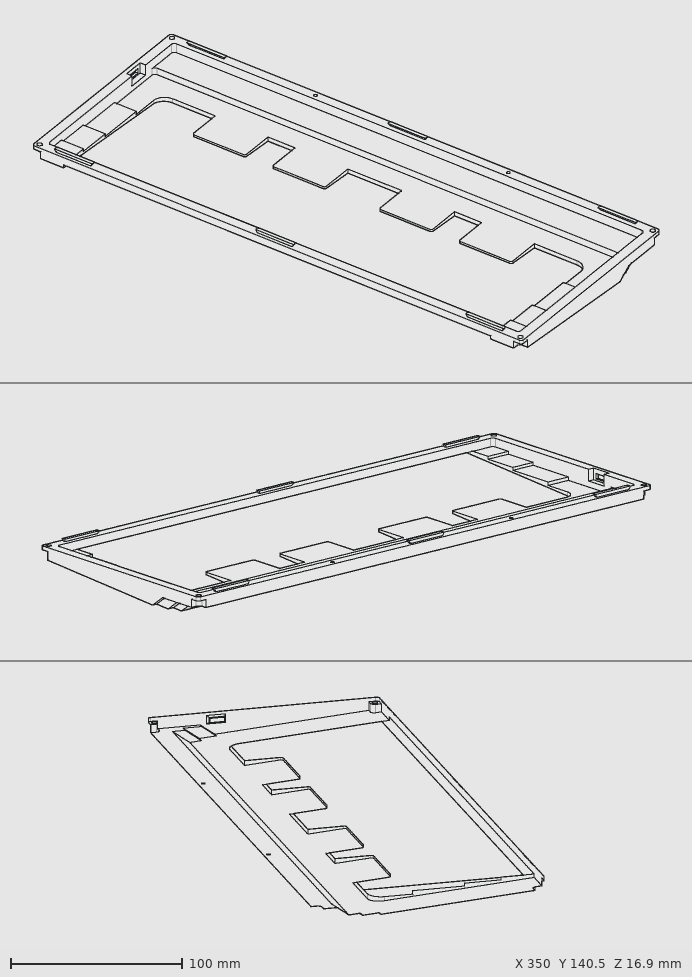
import cadquery as cq


LENGTH = 350.0
WIDTH = 140.5
RIM_WIDTH = 6.5
FRAME_DEPTH = 7.5
OUTER_CORNER_RADIUS = 1.8
INNER_CORNER_RADIUS = 2.0
BACK = WIDTH / 2
FRONT = -WIDTH / 2
INNER_LENGTH = LENGTH - 2 * RIM_WIDTH
INNER_BACK = BACK - RIM_WIDTH
INNER_FRONT = FRONT + RIM_WIDTH

WEDGE_DEPTH = 15.0
WEDGE_TOP_DEPTH = FRAME_DEPTH / 2
WEDGE_START = BACK - 13.0
WEDGE_LOW_POINT = BACK - 23.5
WEDGE_LAYERS = [(0.0, 19.0), (3.0, 7.7), (7.5, 0.0)]

SHELF_DEPTH = 6.3
FRONT_FLOOR_DEPTH = 5.2
SHELF_EDGE = BACK - 26.2
MAIN_FLOOR_DEPTH = 11.0
MAIN_FLOOR_END = BACK - 66.5
SIDE_STEPS = [(BACK - 98.0, 8.8), (BACK - 120.0, 7.0)]

OPENING_LENGTH = 305.2
OPENING_BACK = BACK - 41.3
OPENING_CORNER_RADIUS = 8.0
TAB_LENGTH = 37.8
TAB_REACH = 23.0
TAB_CENTERS = [-95.2, -38.0, 38.0, 95.2]
TAB_CORNER_RADIUS = 1.5

HOOK_HEIGHT = 1.9
HOOK_LENGTH = 27.0
HOOK_TOP_WIDTH = 2.5
HOOK_UNDERCUT = 1.0
HOOK_EDGE_GAP = 2.0
HOOK_CENTERS = [-147.0, -3.0, 147.0]

SCREW_EDGE_Y = 3.0
CORNER_SCREW_EDGE_X = 3.0
CORNER_HOLE_DIAMETER = 3.0
RIM_HOLE_DIAMETER = 2.0
RIM_HOLE_CENTERS = [-69.3, 68.5]
FLANGE_THICKNESS = 2.5
POCKET_SIZE = 6.0
POCKET_RADIUS = 2.5

SOCKET_CENTER = BACK - 41.5
SOCKET_POCKET_WIDTH = 13.5
SOCKET_WALL = 2.8
SOCKET_LENGTH = 11.5
SOCKET_HEIGHT = 5.2
SOCKET_DEPTH = 4.5
SOCKET_CHAMFER = 1.0


def block(x_min, x_max, y_min, y_max, z_min, z_max):
    return (
        cq.Workplane("XY")
        .box(x_max - x_min, y_max - y_min, z_max - z_min, centered=False)
        .translate((x_min, y_min, z_min))
    )


def make_wedge(half_length, setback):
    """Wedge slanting up to the front; its slanted back face is moved forward by the setback."""
    slope = (WEDGE_DEPTH - FRAME_DEPTH) / (WEDGE_LOW_POINT - FRONT)
    back_slant = (WEDGE_DEPTH - FRAME_DEPTH) / (WEDGE_START - WEDGE_LOW_POINT)
    back_start = WEDGE_START - setback
    low_drop = slope * (back_start - FRONT) / (1 + slope / back_slant)
    low_point = (back_start - low_drop / back_slant, -FRAME_DEPTH - low_drop)
    return (
        cq.Workplane("YZ")
        .moveTo(FRONT, -WEDGE_TOP_DEPTH)
        .lineTo(FRONT, -FRAME_DEPTH)
        .lineTo(*low_point)
        .lineTo(back_start, -FRAME_DEPTH)
        .lineTo(back_start, -WEDGE_TOP_DEPTH)
        .close()
        .extrude(half_length, both=True)
    )


def make_outer_body():
    """Frame block joined with the stepped layers of the wedge, with rounded vertical corners."""
    body = block(-LENGTH / 2, LENGTH / 2, FRONT, BACK, -FRAME_DEPTH, 0)
    for end_inset, setback in WEDGE_LAYERS:
        body = body.union(make_wedge(LENGTH / 2 - end_inset, setback))
    envelope = block(-LENGTH / 2, LENGTH / 2, FRONT, BACK, -WEDGE_DEPTH, 0)
    return body.intersect(envelope.edges("|Z").fillet(OUTER_CORNER_RADIUS))


def make_cavity():
    """Space inside the rim: a back shelf, then the deep main floor rising in steps to the front."""
    half = INNER_LENGTH / 2
    cavity = block(-half, half, INNER_FRONT, INNER_BACK, -FRONT_FLOOR_DEPTH, 0)
    shelf = block(-half, half, MAIN_FLOOR_END, INNER_BACK, -SHELF_DEPTH, 0)
    main = block(-half, half, MAIN_FLOOR_END, SHELF_EDGE, -MAIN_FLOOR_DEPTH, 0)
    cavity = cavity.edges("|Z").fillet(INNER_CORNER_RADIUS)
    for level in (shelf, main):
        cavity = cavity.union(level.edges("|Z and >Y").fillet(INNER_CORNER_RADIUS))
    step_back = MAIN_FLOOR_END
    for step_front, depth in SIDE_STEPS:
        cavity = cavity.union(block(-half, half, step_front, step_back, -depth, 0))
        step_back = step_front
    return cavity


def make_opening():
    """Opening through the floor, continuing to the front below the front rim."""
    half = OPENING_LENGTH / 2
    opening = block(-half, half, FRONT, OPENING_BACK, -WEDGE_DEPTH, -FRONT_FLOOR_DEPTH)
    opening = opening.edges("|Z and >Y").fillet(OPENING_CORNER_RADIUS)
    for center in TAB_CENTERS:
        tab = block(
            center - TAB_LENGTH / 2, center + TAB_LENGTH / 2,
            OPENING_BACK - TAB_REACH, OPENING_BACK, -WEDGE_DEPTH, -FRONT_FLOOR_DEPTH,
        )
        opening = opening.cut(tab.edges("|Z and <Y").fillet(TAB_CORNER_RADIUS))
    return opening


def make_hook(center, side):
    """Snap hook on the back (side 1) or front (side -1) rim, undercut at its ends and inner face."""
    top_width = HOOK_TOP_WIDTH
    base_width = top_width - HOOK_UNDERCUT
    outer = side * (WIDTH / 2 - HOOK_EDGE_GAP)
    base_y = outer - side * base_width / 2
    top_y = outer - side * top_width / 2
    return (
        cq.Workplane("XY", origin=(center, base_y, 0))
        .rect(HOOK_LENGTH - 2 * HOOK_UNDERCUT, base_width)
        .workplane(offset=HOOK_HEIGHT)
        .center(0, top_y - base_y)
        .rect(HOOK_LENGTH, top_width)
        .loft(ruled=True)
    )


def make_hole(x, y, diameter):
    return cq.Workplane("XY").center(x, y).circle(diameter / 2).extrude(-FRAME_DEPTH)


def make_corner_pocket(side_x, side_y):
    """Pocket under a frame corner, open to both outer sides, leaving a flange for the screw."""
    size = POCKET_SIZE
    pocket = block(-size, size, -size, size, -WEDGE_DEPTH, -FLANGE_THICKNESS)
    pocket = pocket.edges("|Z").fillet(POCKET_RADIUS)
    return pocket.translate((side_x * LENGTH / 2, side_y * WIDTH / 2, 0))


def make_socket():
    """Cable socket: a recess in the inner face of the left wall and a chamfered window."""
    left = -LENGTH / 2
    recess = block(
        left + SOCKET_WALL, left + RIM_WIDTH,
        SOCKET_CENTER - SOCKET_POCKET_WIDTH / 2, SOCKET_CENTER + SOCKET_POCKET_WIDTH / 2,
        -SOCKET_DEPTH - SOCKET_HEIGHT / 2, 0,
    )
    window = (
        cq.Workplane("YZ", origin=(left, SOCKET_CENTER, -SOCKET_DEPTH))
        .rect(SOCKET_LENGTH, SOCKET_HEIGHT)
        .workplane(offset=SOCKET_CHAMFER)
        .rect(SOCKET_LENGTH - 2 * SOCKET_CHAMFER, SOCKET_HEIGHT - 2 * SOCKET_CHAMFER)
        .loft(ruled=True)
        .faces(">X")
        .wires()
        .toPending()
        .workplane()
        .extrude(SOCKET_WALL - SOCKET_CHAMFER)
    )
    return recess.union(window)


result = make_outer_body().cut(make_cavity()).cut(make_opening()).cut(make_socket())

for side_y in (-1, 1):
    for hook_center in HOOK_CENTERS:
        result = result.union(make_hook(hook_center, side_y))
    for side_x in (-1, 1):
        hole_x = side_x * (LENGTH / 2 - CORNER_SCREW_EDGE_X)
        hole_y = side_y * (WIDTH / 2 - SCREW_EDGE_Y)
        result = result.cut(make_corner_pocket(side_x, side_y))
        result = result.cut(make_hole(hole_x, hole_y, CORNER_HOLE_DIAMETER))

for hole_x in RIM_HOLE_CENTERS:
    result = result.cut(make_hole(hole_x, BACK - SCREW_EDGE_Y, RIM_HOLE_DIAMETER))